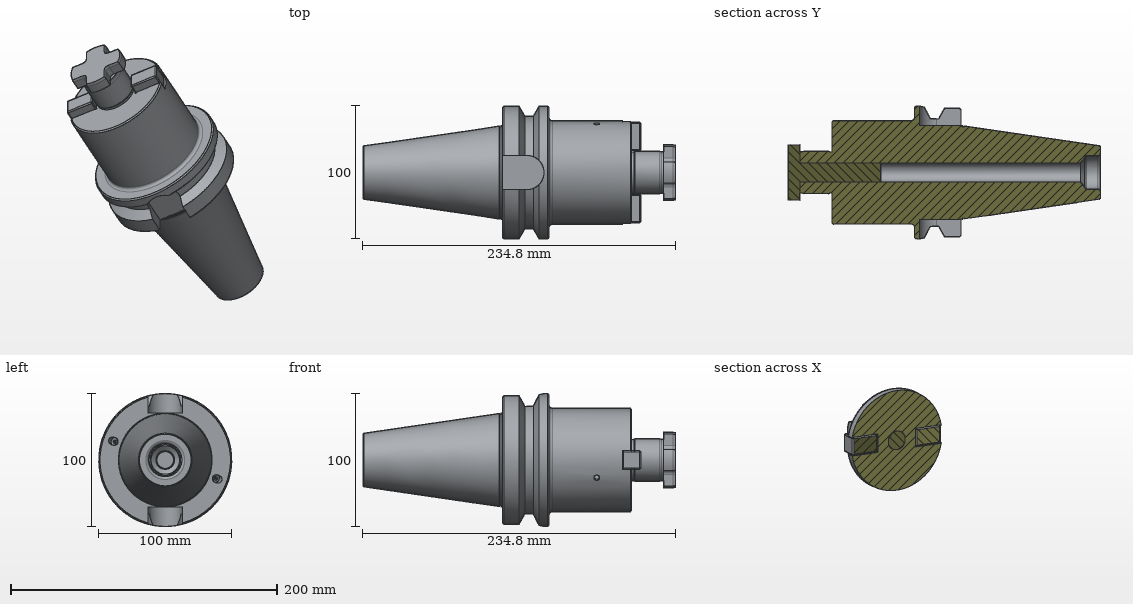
import cadquery as cq
import math


gauge_x = 101.8
neck_gap = 3.0
flange_end_x = gauge_x + 38.0
body_end_x = gauge_x + 100.0
spigot_end_x = body_end_x + 24.0
overall_length = 234.8

gauge_radius = 34.925
taper_slope = 7.0 / 48.0
small_end_radius = gauge_radius - gauge_x * taper_slope
small_end_chamfer = 0.7
neck_groove_radius = 34.4
neck_groove_start_x = gauge_x + 0.8
neck_groove_end_x = gauge_x + 1.9
neck_collar_radius = 35.2

flange_radius = 50.0
flange_chamfer = 1.0
flange_start_x = gauge_x + neck_gap
groove_x = gauge_x + 23.0
groove_floor_radius = 42.4
groove_floor_half_width = 3.15
groove_half_angle = math.radians(30)
groove_mouth_half_width = (
    groove_floor_half_width + (flange_radius - groove_floor_radius) * math.tan(groove_half_angle)
)

body_radius = 39.0
body_fillet = 2.5
body_chamfer = 1.0
spigot_radius = 16.0
relief_radius = 15.6
relief_width = 1.7
relief_slope_length = 0.7
spigot_lead_length = 3.0
spigot_lead_slope_length = 1.5
spigot_lead_radius = 15.7

bore_radius = 12.5
bore_mouth_fillet = 2.1
bore_depth = 11.0
step_radius = 11.6
step_depth = 12.0
cone_mouth_radius = 10.7
cone_half_angle = math.radians(50)
core_radius = 7.0

slot_width = 25.7
slot_floor = 35.4
slot_end_x = 136.0

coolant_angle = 20.0
coolant_pitch_radius = 41.7
coolant_hole_radius = 3.0
coolant_hole_depth = 18.0
coolant_tilt = 30.0
plug_recess = 2.5
plug_length = 6.0
plug_socket_size = 2.5
plug_socket_depth = 3.0
radial_hole_x = 175.6
radial_hole_radius = 2.1
radial_hole_depth = 3.0
drill_point_angle = math.radians(59)

drive_key_width = 14.0
drive_key_start_x = body_end_x - 7.0
drive_key_end_x = body_end_x + 7.0
drive_key_inner_y = 16.4
drive_key_outer_y = 37.8
drive_key_chamfer = 0.9

screw_head_radius = 21.0
screw_head_chamfer_length = 2.0
screw_head_chamfer_angle = 12.0
wing_width = 16.0
wing_fillet = 3.0
screw_shank_start_x = 165.0
screw_tip_chamfer = 0.7


def turn(shape, angle):
    return shape.rotate((0, 0, 0), (1, 0, 0), angle)



def holder_blank():
    outline = (
        cq.Workplane("XZ")
        .moveTo(0, 0)
        .lineTo(0, small_end_radius - small_end_chamfer)
        .lineTo(small_end_chamfer, small_end_radius + small_end_chamfer * taper_slope)
        .lineTo(gauge_x, gauge_radius)
        .lineTo(neck_groove_start_x, gauge_radius)
        .lineTo(neck_groove_start_x, neck_groove_radius)
        .lineTo(neck_groove_end_x, neck_groove_radius)
        .lineTo(neck_groove_end_x, neck_collar_radius)
        .lineTo(flange_start_x, neck_collar_radius)
        .lineTo(flange_start_x, flange_radius - flange_chamfer)
        .lineTo(flange_start_x + flange_chamfer, flange_radius)
        .lineTo(groove_x - groove_mouth_half_width, flange_radius)
        .lineTo(groove_x - groove_floor_half_width, groove_floor_radius)
        .lineTo(groove_x + groove_floor_half_width, groove_floor_radius)
        .lineTo(groove_x + groove_mouth_half_width, flange_radius)
        .lineTo(flange_end_x - flange_chamfer, flange_radius)
        .lineTo(flange_end_x, flange_radius - flange_chamfer)
        .lineTo(flange_end_x, body_radius + body_fillet)
        .radiusArc((flange_end_x + body_fillet, body_radius), -body_fillet)
        .lineTo(body_end_x - body_chamfer, body_radius)
        .lineTo(body_end_x, body_radius - body_chamfer)
        .lineTo(body_end_x, relief_radius)
        .lineTo(body_end_x + relief_width, relief_radius)
        .lineTo(body_end_x + relief_width + relief_slope_length, spigot_radius)
        .lineTo(spigot_end_x - spigot_lead_length, spigot_radius)
        .lineTo(spigot_end_x - spigot_lead_length + spigot_lead_slope_length, spigot_lead_radius)
        .lineTo(spigot_end_x, spigot_lead_radius)
        .lineTo(spigot_end_x, 0)
        .close()
    )
    return outline.revolve(360, (0, 0, 0), (1, 0, 0))


def drawbar_bore():
    """Stepped bore with a rounded mouth, narrowing through a cone to the screw hole."""
    cone_end_x = step_depth + (cone_mouth_radius - core_radius) / math.tan(cone_half_angle)
    outline = (
        cq.Workplane("XZ")
        .moveTo(0, 0)
        .lineTo(0, bore_radius + bore_mouth_fillet)
        .radiusArc((bore_mouth_fillet, bore_radius), -bore_mouth_fillet)
        .lineTo(bore_depth, bore_radius)
        .lineTo(bore_depth, step_radius)
        .lineTo(step_depth, step_radius)
        .lineTo(step_depth, cone_mouth_radius)
        .lineTo(cone_end_x, core_radius)
        .lineTo(spigot_end_x, core_radius)
        .lineTo(spigot_end_x, 0)
        .close()
    )
    return outline.revolve(360, (0, 0, 0), (1, 0, 0))


def spindle_key_slot():
    """Slot above the +Z side of the taper, open to the left and rounded at its right end."""
    slot_center_x = slot_end_x - slot_width / 2
    depth = flange_radius - slot_floor
    straight = (
        cq.Workplane("XY", origin=(0, 0, slot_floor))
        .center((gauge_x + slot_center_x) / 2, 0)
        .rect(slot_center_x - gauge_x, slot_width)
        .extrude(depth)
    )
    rounded = (
        cq.Workplane("XY", origin=(slot_center_x, 0, slot_floor)).circle(slot_width / 2).extrude(depth)
    )
    return straight.union(rounded)


def along_coolant_hole(shape):
    """Carry a shape made along +X from the origin into the tilted coolant hole on the +Y side."""
    tilted = shape.rotate((0, 0, 0), (0, 0, 1), -coolant_tilt)
    placed = tilted.translate((flange_start_x, coolant_pitch_radius, 0))
    return turn(placed, coolant_angle)


def coolant_hole():
    overshoot = 3.0
    cylinder = cq.Workplane("YZ", origin=(-overshoot, 0, 0)).circle(coolant_hole_radius)
    return along_coolant_hole(cylinder.extrude(overshoot + coolant_hole_depth))


def radial_hole():
    """Blind drilled hole with a conical floor, entering the body from the +Y side."""
    floor_y = body_radius - radial_hole_depth
    tip_y = floor_y - radial_hole_radius / math.tan(drill_point_angle)
    axis_x = radial_hole_x
    hole = (
        cq.Workplane("XY")
        .polyline([
            (axis_x, body_radius),
            (axis_x + radial_hole_radius, body_radius),
            (axis_x + radial_hole_radius, floor_y),
            (axis_x, tip_y),
        ])
        .close()
        .revolve(360, (axis_x, 0, 0), (axis_x, 1, 0))
    )
    return turn(hole, coolant_angle)


def drive_key_slot():
    return cq.Workplane("XY").box(
        body_end_x - drive_key_start_x,
        body_radius - drive_key_inner_y,
        drive_key_width,
        centered=(False, False, True),
    ).translate((drive_key_start_x, drive_key_inner_y, 0))


holder = holder_blank().cut(drawbar_bore())
for side_angle in (0, 180):
    for cutter in (spindle_key_slot(), coolant_hole(), radial_hole(), drive_key_slot()):
        holder = holder.cut(turn(cutter, side_angle))



def coolant_plug():
    """Set screw with a hexagon socket."""
    socket_diameter = plug_socket_size / math.cos(math.radians(30))
    plug = cq.Workplane("YZ", origin=(plug_recess, 0, 0)).circle(coolant_hole_radius).extrude(plug_length)
    socket = (
        cq.Workplane("YZ", origin=(plug_recess, 0, 0))
        .polygon(6, socket_diameter)
        .extrude(plug_socket_depth)
    )
    return along_coolant_hole(plug.cut(socket))



def drive_key():
    return cq.Workplane("XY").box(
        drive_key_end_x - drive_key_start_x,
        drive_key_outer_y - drive_key_inner_y,
        drive_key_width,
        centered=(False, False, True),
    ).edges().chamfer(drive_key_chamfer).translate((drive_key_start_x, drive_key_inner_y, 0))



def screw_head():
    """Cross-shaped head with rounded inner corners and a steep chamfer around its end."""
    length = overall_length - screw_head_chamfer_length - spigot_end_x
    plane = cq.Workplane("YZ", origin=(spigot_end_x, 0, 0))
    bar_length = 2 * screw_head_radius + wing_width
    cross = plane.rect(bar_length, wing_width).extrude(length).union(
        plane.rect(wing_width, bar_length).extrude(length)
    )
    margin = 1.0
    inner_corner = wing_width / 2 + margin
    corner_box = cq.selectors.BoxSelector(
        (spigot_end_x - margin, -inner_corner, -inner_corner),
        (overall_length + margin, inner_corner, inner_corner),
    )
    cross = cross.edges("|X").edges(corner_box).fillet(wing_fillet)
    head = plane.circle(screw_head_radius).extrude(length).intersect(cross)
    tapered_end = head.faces(">X").wires().toPending().workplane().extrude(
        screw_head_chamfer_length, taper=screw_head_chamfer_angle
    )
    return head.union(tapered_end)


def clamping_screw():
    shank_length = spigot_end_x - screw_shank_start_x
    shank = cq.Workplane("YZ", origin=(screw_shank_start_x, 0, 0)).circle(core_radius).extrude(shank_length)
    shank = shank.faces("<X").chamfer(screw_tip_chamfer)
    return screw_head().union(shank)


screw = clamping_screw()
drive_keys = [turn(drive_key(), angle) for angle in (0, 180)]
coolant_plugs = [turn(coolant_plug(), angle) for angle in (0, 180)]

result = cq.Compound.makeCompound(
    [holder.val(), screw.val()]
    + [key.val() for key in drive_keys]
    + [plug.val() for plug in coolant_plugs]
)